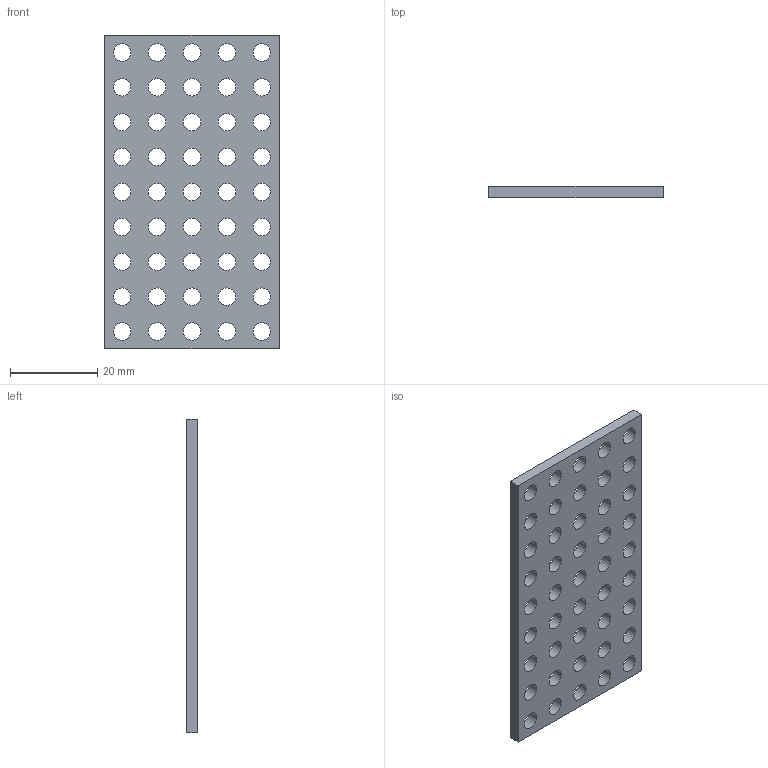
import cadquery as cq

pitch = 8.0
columns = 5
rows = 9
hole_diameter = 4.0

width = columns * pitch
height = rows * pitch
thickness = 2.5


def make_plate():
    """Plain rectangular plate standing in the XZ plane, centred on the origin."""
    return cq.Workplane("XY").box(width, thickness, height)


def drill_hole_grid(plate):
    """Drill the regular grid of through holes along Y."""
    return (
        plate.faces("<Y")
        .workplane(centerOption="CenterOfBoundBox")
        .rarray(pitch, pitch, columns, rows)
        .hole(hole_diameter)
    )


result = drill_hole_grid(make_plate())